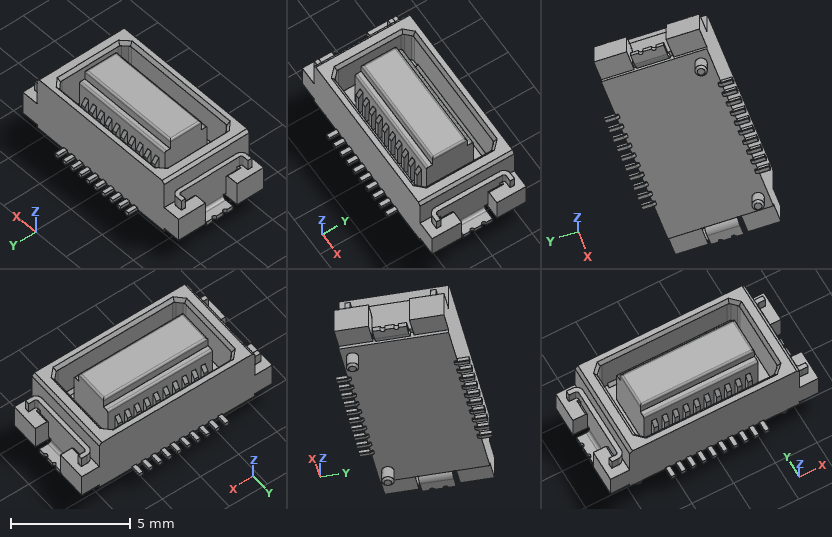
import cadquery as cq
import math

overall_length = 10.0
body_length = 8.16
body_width = 4.72
body_height = 2.92
body_end_chamfer = 0.14
ear_width = 1.48
ear_bottom = 0.16
ear_top = 1.41

rim_length = 7.1
rim_width = 4.2
rim_corner = 0.4
rim_inset = 0.14
rim_depth = 0.18
cavity_corner_round = 0.2
floor_z = 0.8

island_length = 5.48
island_width = 2.35
island_shoulder_z = body_height
tongue_width = 1.74
tongue_top = 3.41
island_round = 0.1
ramp_depth = 0.15
ramp_height = 0.15

contact_count = 10
contact_pitch = 0.5
contact_width = 0.22
contact_reach = 0.21
contact_top = 2.3
contact_drop = 0.3
lead_span = 5.72
lead_bottom = -0.09
lead_thickness = 0.21
lead_edge_chamfer = 0.03
lead_heel_inset = 0.18
lead_heel_radius = 0.2

sheet = 0.22
clip_top = 2.01
arm_bottom = 1.47
arm_span = 3.9
arm_tip_x = 4.71
plate_width = 2.96
plate_bottom = 0.32
arm_bend_inside = 0.11
tab_bend_inside = 0.15
tab_width = 1.47
tab_tip_x = 4.91
tab_bottom = lead_bottom
tab_notch_radius = 0.1
tab_notch_spacing = 0.59

slot_clearance = 0.05
slot_chamfer = 0.09

post_spacing = 6.98
post_y = -1.89
post_radius = 0.26
post_bottom = -0.69
post_chamfer = 0.1

body_end_x = body_length / 2
plate_face_x = body_end_x + sheet
cavity_length = rim_length - 2 * rim_inset
cavity_width = rim_width - 2 * rim_inset
cavity_corner = rim_corner - (2 - math.sqrt(2)) * rim_inset


def box(x_range, y_range, z_range):
    """Axis-aligned block between pairs of limits."""
    low, high = zip(x_range, y_range, z_range)
    size = [b - a for a, b in zip(low, high)]
    return cq.Workplane("XY").box(*size, centered=False).translate(low)


def centred_block(length, width, bottom, top):
    return cq.Workplane("XY").workplane(offset=bottom).rect(length, width).extrude(top - bottom)


def both_ends(shape):
    """The shape at the +X end together with its mirror image."""
    return shape.union(shape.mirror("YZ"))


def both_sides(shape):
    """The shape at the +Y side together with its mirror image."""
    return shape.union(shape.mirror("XZ"))


def make_body():
    body = centred_block(body_length, body_width, 0, body_height)
    body = body.faces(">Z").edges("|Y").chamfer(body_end_chamfer)
    ear = box(
        (body_end_x, overall_length / 2),
        (body_width / 2 - ear_width, body_width / 2),
        (ear_bottom, ear_top),
    )
    return body.union(both_ends(both_sides(ear)))


def make_slot_lead_in():
    """Sloped entry to the clip slot, cut into the tops of the two ears at +X."""
    slot_width = plate_width + 2 * slot_clearance
    funnel = (
        cq.Workplane("XY").workplane(offset=ear_top - slot_chamfer)
        .rect(2 * plate_face_x, slot_width)
        .workplane(offset=slot_chamfer)
        .rect(2 * (plate_face_x + slot_chamfer), slot_width + 2 * slot_chamfer)
        .loft(ruled=True)
    )
    ear_region = box(
        (body_end_x, overall_length / 2),
        (-body_width / 2, body_width / 2),
        (ear_bottom, ear_top),
    )
    return funnel.intersect(ear_region)


def make_cavity():
    """Rounded octagonal well with a steep lead-in around its mouth."""
    taper = math.atan2(rim_inset, rim_depth)
    mouth = centred_block(rim_length, rim_width, body_height - rim_depth, body_height)
    mouth = mouth.edges("|Z").chamfer(rim_corner)
    lead_in = mouth.faces(">Z").wires().toPending().extrude(
        -rim_depth, combine=False, taper=math.degrees(taper)
    )
    well = centred_block(cavity_length, cavity_width, floor_z, body_height - rim_depth)
    well = well.edges("|Z").chamfer(cavity_corner).edges("|Z").fillet(cavity_corner_round)
    return well.union(lead_in)


def make_island():
    """Stepped block whose narrow tongue rises above the housing."""
    island = centred_block(island_length, island_width, floor_z, island_shoulder_z)
    island = island.faces(">Z").edges("|X").fillet(island_round)
    tongue = centred_block(island_length, tongue_width, floor_z, tongue_top)
    tongue = tongue.faces(">Z").edges().fillet(island_round)
    return island.union(tongue)


def make_ramp():
    """Sloped ledge where the +Y cavity wall meets the floor."""
    wall = cavity_width / 2
    return (
        cq.Workplane("YZ")
        .moveTo(wall, floor_z)
        .lineTo(wall - ramp_depth, floor_z)
        .lineTo(wall, floor_z + ramp_height)
        .close()
        .extrude(island_length / 2, both=True)
    )


def make_contact(x):
    """One contact at +Y: the spring beside the island and the lead outside the wall."""
    face = island_width / 2
    spring = (
        cq.Workplane("YZ")
        .moveTo(face, floor_z)
        .lineTo(face, contact_top)
        .lineTo(face + contact_reach, contact_top - contact_drop)
        .lineTo(face + contact_reach, floor_z)
        .close()
        .extrude(contact_width / 2, both=True)
    )
    heel = body_width / 2 - lead_heel_inset
    lead = box(
        (-contact_width / 2, contact_width / 2),
        (heel, lead_span / 2),
        (lead_bottom, lead_bottom + lead_thickness),
    )
    lead = lead.faces("<Z").edges("<Y").fillet(lead_heel_radius)
    lead = lead.faces("<Z").edges("|Y").chamfer(lead_edge_chamfer)
    return spring.union(lead).translate((x, 0, 0))


def make_clip():
    """The clip at +X: an upright plate with two bent arms on top and a solder tab below."""
    half_span = arm_span / 2
    arms = box((body_end_x, arm_tip_x), (-half_span, half_span), (arm_bottom, clip_top))
    arms = arms.edges("|Z and <X").fillet(arm_bend_inside + sheet)
    half_opening = half_span - sheet
    opening = box((plate_face_x, overall_length), (-half_opening, half_opening), (arm_bottom, clip_top))
    opening = opening.edges("|Z and <X").fillet(arm_bend_inside)
    plate = box(
        (body_end_x, plate_face_x),
        (-plate_width / 2, plate_width / 2),
        (plate_bottom, clip_top),
    )
    return arms.cut(opening).union(plate).union(make_tab())


def make_tab():
    """Solder tab curving outward from the foot of the plate."""
    half = tab_width / 2
    outside = box((body_end_x, tab_tip_x), (-half, half), (tab_bottom, arm_bottom))
    outside = outside.edges("|Y and <X and <Z").fillet(tab_bend_inside + sheet)
    inside = box((plate_face_x, overall_length), (-half, half), (tab_bottom + sheet, clip_top))
    inside = inside.edges("|Y and <X and <Z").fillet(tab_bend_inside)
    notches = (
        cq.Workplane("XY").workplane(offset=tab_bottom)
        .pushPoints([(tab_tip_x, side * tab_notch_spacing / 2) for side in (-1, 1)])
        .circle(tab_notch_radius).extrude(sheet)
    )
    return outside.cut(inside).cut(notches)


def make_post(x):
    post = cq.Workplane("XY").center(x, post_y).circle(post_radius).extrude(post_bottom)
    return post.faces("<Z").chamfer(post_chamfer)


result = make_body().cut(both_ends(make_slot_lead_in())).cut(make_cavity())
result = result.union(make_island()).union(both_sides(make_ramp()))
result = result.union(both_ends(make_clip()))
for index in range(contact_count):
    contact_x = (index - (contact_count - 1) / 2) * contact_pitch
    result = result.union(both_sides(make_contact(contact_x)))
for side in (-1, 1):
    result = result.union(make_post(side * post_spacing / 2))